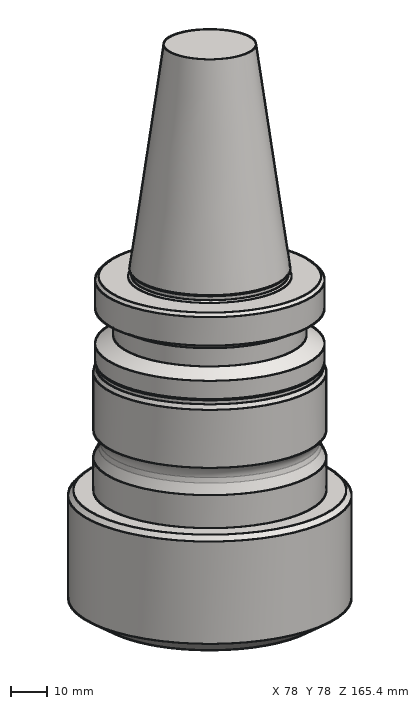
import cadquery as cq

total_height = 165.4

nut_radius = 39.0
nut_top = 35.7
nut_face_radius = 31.6
nut_bevel_height = 4.5
nut_edge = 1.5

body_radius = 32.1
body_top = 70.1
groove_bottom = 45.3
groove_cone_top = 48.3
groove_floor_top = 49.8
groove_top = 53.3
groove_cone_radius = 30.6
groove_floor_radius = 30.3
groove_arc_mid_radius = 30.8
groove_arc_mid_height = 51.8

relief_radius = 31.3
relief_bottom = 71.5
relief_top = 72.6

flange_radius = 31.6
flange_top = 97.9
flange_edge = 1.0
flange_lower_edge_height = 0.5
gripper_radius = 26.6
gripper_bottom = 80.9
gripper_top = 86.2
gripper_bevel_height = 2.5

neck_radius = 21.7
neck_bevel_height = 0.5
neck_foot_radius = 22.5
shank_bottom = 100.0
shank_base_radius = 22.2
shank_tip_radius = 12.7


def add_nut(profile):
    return (
        profile.lineTo(nut_face_radius, 0)
        .lineTo(nut_radius, nut_bevel_height)
        .lineTo(nut_radius, nut_top - nut_edge)
        .lineTo(nut_radius - nut_edge, nut_top)
    )


def add_body(profile):
    return (
        profile.lineTo(body_radius, nut_top)
        .lineTo(body_radius, groove_bottom)
        .lineTo(groove_cone_radius, groove_cone_top)
        .lineTo(groove_floor_radius, groove_floor_top)
        .threePointArc((groove_arc_mid_radius, groove_arc_mid_height), (body_radius, groove_top))
        .lineTo(body_radius, body_top)
        .lineTo(relief_radius, relief_bottom)
        .lineTo(relief_radius, relief_top)
    )


def add_flange(profile):
    return (
        profile.lineTo(flange_radius, relief_top + flange_lower_edge_height)
        .lineTo(flange_radius, gripper_bottom - gripper_bevel_height)
        .lineTo(gripper_radius, gripper_bottom)
        .lineTo(gripper_radius, gripper_top)
        .lineTo(flange_radius, gripper_top + gripper_bevel_height)
        .lineTo(flange_radius, flange_top - flange_edge)
        .lineTo(flange_radius - flange_edge, flange_top)
    )


def add_shank(profile):
    return (
        profile.lineTo(neck_foot_radius, flange_top)
        .lineTo(neck_radius, flange_top + neck_bevel_height)
        .lineTo(neck_radius, shank_bottom - neck_bevel_height)
        .lineTo(shank_base_radius, shank_bottom)
        .lineTo(shank_tip_radius, total_height)
        .lineTo(0, total_height)
    )


half_profile = cq.Workplane("XZ").moveTo(0, 0)
for add_section in (add_nut, add_body, add_flange, add_shank):
    half_profile = add_section(half_profile)

result = half_profile.close().revolve(360, (0, 0, 0), (0, 1, 0))